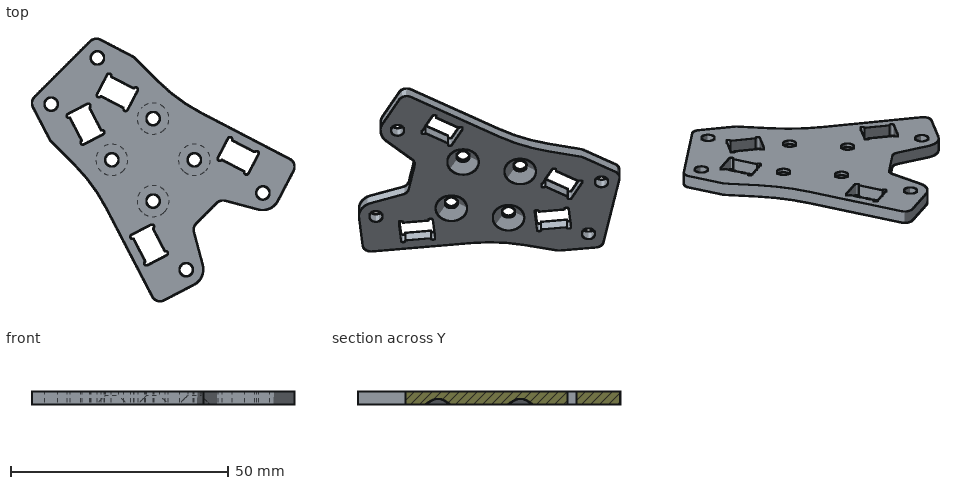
import cadquery as cq
import math

thickness = 3.0
hole_diameter = 3.0
central_hole_offset = 9.5
countersink_depth = 2.1
rear_hole = (-12.8, 23.45)
arm_hole = (25.3, -7.6)

arm_angle = 27.5
notch_angle = 15.0
rear_corner = (-13.4, 28.35)
rear_flank_length = 10.15
waist_length = 14.1
arm_length = 31.25
notch_floor_distance = 24.6
corner_radius = 2.0
arm_lobe_radius = 4.0
waist_radius = 39.9

slot_length = 7.85
slot_width = 5.0
relief_radius = 0.5
rear_slot = (-8.2, 15.55)
arm_slot = (19.6, 0.9)


def mirrored(point):
    """Reflect a point across the symmetry diagonal."""
    return (-point[1], -point[0])


def step(point, angle, distance):
    """Move a distance from a point in a direction given in degrees."""
    direction = math.radians(angle)
    return (point[0] + distance * math.cos(direction), point[1] + distance * math.sin(direction))


def meet(point_a, angle_a, point_b, angle_b):
    """Intersect two lines, each given by a point and a direction in degrees."""
    a = math.radians(angle_a)
    b = math.radians(angle_b)
    dx = point_b[0] - point_a[0]
    dy = point_b[1] - point_a[1]
    distance = (dx * math.sin(b) - dy * math.cos(b)) / math.sin(b - a)
    return step(point_a, angle_a, distance)


def rounded_corner(before, corner, after, radius):
    """Return the start, middle and end of the arc that rounds a corner."""
    to_before = cq.Vector(before[0] - corner[0], before[1] - corner[1]).normalized()
    to_after = cq.Vector(after[0] - corner[0], after[1] - corner[1]).normalized()
    half_angle = to_before.getAngle(to_after) / 2
    tangent_length = radius / math.tan(half_angle)
    middle_distance = radius / math.sin(half_angle) - radius
    vertex = cq.Vector(*corner)
    start = vertex + to_before * tangent_length
    middle = vertex + (to_before + to_after).normalized() * middle_distance
    end = vertex + to_after * tangent_length
    return start, middle, end


def half_outline():
    """Return the sharp corners of the upper half with their radii, rear to notch."""
    knee = step(rear_corner, -arm_angle, rear_flank_length)
    waist = step(knee, -45, waist_length)
    arm_tip = step(waist, -arm_angle, arm_length)
    end_angle = -90 - arm_angle
    flank_point = step(arm_hole, -90 - notch_angle, arm_lobe_radius)
    lobe = meet(arm_tip, end_angle, flank_point, -notch_angle)
    floor_middle = (notch_floor_distance / 2, -notch_floor_distance / 2)
    notch = meet(flank_point, -notch_angle, floor_middle, 45)
    return [
        (rear_corner, corner_radius),
        (knee, corner_radius),
        (waist, waist_radius),
        (arm_tip, corner_radius),
        (lobe, arm_lobe_radius),
        (notch, corner_radius),
    ]


def make_plate():
    """Extrude the closed, rounded outline."""
    upper = half_outline()
    lower = [(mirrored(point), radius) for point, radius in reversed(upper)]
    corners = upper + lower
    arcs = []
    for i, (corner, radius) in enumerate(corners):
        before = corners[i - 1][0]
        after = corners[(i + 1) % len(corners)][0]
        arcs.append(rounded_corner(before, corner, after, radius))
    outline = cq.Workplane("XY").moveTo(arcs[-1][2].x, arcs[-1][2].y)
    for start, middle, end in arcs:
        outline = outline.lineTo(start.x, start.y)
        outline = outline.threePointArc((middle.x, middle.y), (end.x, end.y))
    return outline.close().extrude(thickness)


def slot_cutter(center, angle):
    """Slot with a relief circle at each corner, touching the short ends."""
    cutter = cq.Workplane("XY").rect(slot_length, slot_width).extrude(thickness)
    reliefs = (
        cq.Workplane("XY")
        .rect(slot_length - 2 * relief_radius, slot_width, forConstruction=True)
        .vertices()
        .circle(relief_radius)
        .extrude(thickness)
    )
    turned = cutter.union(reliefs).rotate((0, 0, 0), (0, 0, 1), angle)
    return turned.translate((center[0], center[1], 0))


def countersinks(points):
    """90 degree cones that narrow upward to the hole diameter."""
    mouth_radius = hole_diameter / 2 + countersink_depth
    cone = cq.Solid.makeCone(mouth_radius, hole_diameter / 2, countersink_depth)
    return cq.Workplane("XY").pushPoints(points).eachpoint(lambda place: cone.located(place))


central_points = [
    (central_hole_offset, 0),
    (0, central_hole_offset),
    (-central_hole_offset, 0),
    (0, -central_hole_offset),
]

plain_points = []
for hole in (rear_hole, arm_hole):
    plain_points += [hole, mirrored(hole)]

hole_points = central_points + plain_points
holes = cq.Workplane("XY").pushPoints(hole_points).circle(hole_diameter / 2).extrude(thickness)
result = make_plate().cut(holes).cut(countersinks(central_points))

for slot in (rear_slot, arm_slot):
    result = result.cut(slot_cutter(slot, -arm_angle))
    result = result.cut(slot_cutter(mirrored(slot), arm_angle - 90))